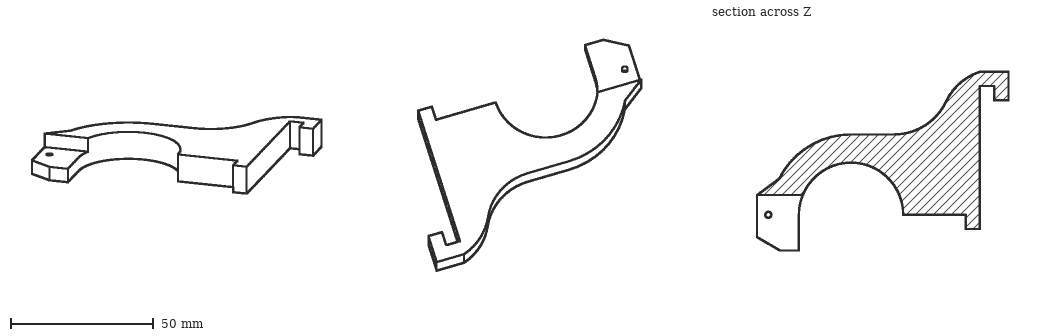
import cadquery as cq
import math

thickness = 10.0
tab_thickness = thickness / 2

bore_radius = 18.2
arm_radius = 28.2
arm_end_x = -25.2
arm_end_y = math.sqrt(arm_radius**2 - arm_end_x**2)

left_x = -32.9
tab_top_y = 6.9
tab_bottom_y = -12.5
tab_bevel_x = 8.0
tab_bevel_y = 4.7
hole_diameter = 2.0
hole_x = -28.95

right_x = left_x + 88
top_y = tab_bottom_y + 62.6
hook_width = 5.0
face_x = right_x - 2 * hook_width

sweep_radius = 20.0
sweep_start_x = 15.1
lower_centre = (sweep_start_x, arm_radius + sweep_radius)


def sweep_upper_centre():
    """Centre two radii from the lower centre and one radius from the hook's top corner."""
    dx = face_x - lower_centre[0]
    dy = top_y - lower_centre[1]
    span = math.hypot(dx, dy)
    along = (span**2 + (2 * sweep_radius)**2 - sweep_radius**2) / (2 * span)
    across = math.sqrt((2 * sweep_radius)**2 - along**2)
    return (
        lower_centre[0] + (along * dx + across * dy) / span,
        lower_centre[1] + (along * dy - across * dx) / span,
    )


def arc_middle(centre, radius, start, end):
    """Point halfway along the shorter arc between two points on a circle."""
    dx = (start[0] + end[0]) / 2 - centre[0]
    dy = (start[1] + end[1]) / 2 - centre[1]
    length = math.hypot(dx, dy)
    return (centre[0] + radius * dx / length, centre[1] + radius * dy / length)


upper_centre = sweep_upper_centre()
arm_end = (arm_end_x, arm_end_y)
arm_top = (0, arm_radius)
sweep_start = (sweep_start_x, arm_radius)
sweep_middle = (
    (lower_centre[0] + upper_centre[0]) / 2,
    (lower_centre[1] + upper_centre[1]) / 2,
)
sweep_end = (face_x, top_y)

body = (
    cq.Workplane("XY")
    .moveTo(left_x, tab_top_y)
    .lineTo(*arm_end)
    .threePointArc(arc_middle((0, 0), arm_radius, arm_end, arm_top), arm_top)
    .lineTo(*sweep_start)
    .threePointArc(arc_middle(lower_centre, sweep_radius, sweep_start, sweep_middle), sweep_middle)
    .threePointArc(arc_middle(upper_centre, sweep_radius, sweep_middle, sweep_end), sweep_end)
    .lineTo(right_x, top_y)
    .lineTo(right_x, top_y - 2 * hook_width)
    .lineTo(right_x - hook_width, top_y - 2 * hook_width)
    .lineTo(right_x - hook_width, top_y - hook_width)
    .lineTo(face_x, top_y - hook_width)
    .lineTo(face_x, -hook_width)
    .lineTo(face_x - hook_width, -hook_width)
    .lineTo(face_x - hook_width, 0)
    .lineTo(bore_radius, 0)
    .threePointArc((0, bore_radius), (-bore_radius, 0))
    .lineTo(-bore_radius, tab_bottom_y)
    .lineTo(left_x + tab_bevel_x, tab_bottom_y)
    .lineTo(left_x, tab_bottom_y + tab_bevel_y)
    .close()
    .extrude(thickness)
)

tab_step = (
    cq.Workplane("XY")
    .box(-left_x, tab_top_y - tab_bottom_y, thickness - tab_thickness, centered=False)
    .translate((left_x, tab_bottom_y, tab_thickness))
)

pin_hole = cq.Workplane("XY").center(hole_x, 0).circle(hole_diameter / 2).extrude(thickness)

result = body.cut(tab_step).cut(pin_hole)